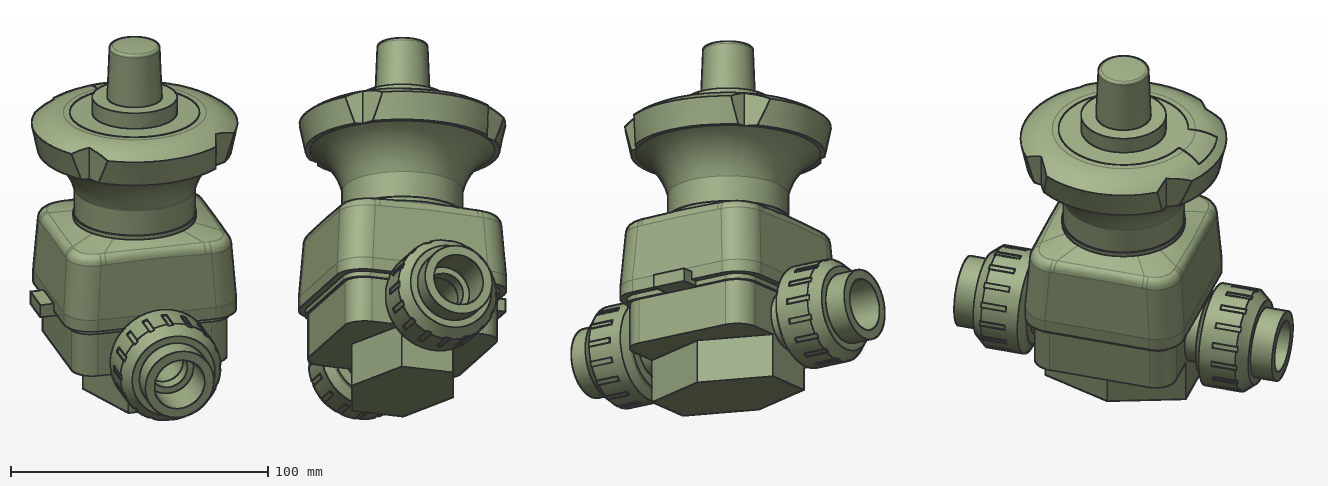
import cadquery as cq
import math


TOTAL_HEIGHT = 142.5
FOOT_BOTTOM = -25.4
BODY_BOTTOM = -8.3
BODY_TOP = 9.7
SKIRT_BOTTOM = 11.8
SKIRT_TOP = 16.8
SHOULDER = 41.9
BONNET_TOP = 44.9
RING_TOP = 46.6
NECK_TOP = 57.0
RIM_BOTTOM = 73.5
RIM_EDGE = 84.2
WHEEL_TOP = 88.6
COLLAR_TOP = 95.0
STEM_TOP = FOOT_BOTTOM + TOTAL_HEIGHT

BODY_X = 57.3
BODY_Y = 62.4
BODY_CORNER = 8.3
FOOT_Y = 41.9
FOOT_END_Y = 21.1
SPIGOT_RADIUS = 11.8
BORE_RADIUS = 7.5

SKIRT_X = 64.1
SKIRT_Y = 69.2
SKIRT_CORNER = 10.8
LIP_INSET = 2.5
WALL_LEAN = 1.7
SHOULDER_FILLET = 4.1
EDGE_MARGIN = 0.1
RING_RADIUS = 24.0
TAB_WIDTH = 14.2
TAB_TOP = 14.8
TAB_REACH = 40.0

NECK_RADIUS = 23.5
FLARE_MID_RADIUS = 27.9
FLARE_MID_HEIGHT = 66.5
FLARE_TOP_RADIUS = 35.9
RIM_BOTTOM_RADIUS = 37.7
RIM_RADIUS = 40.0
WHEEL_FLAT_RADIUS = 27.8
NOTCH_COUNT = 4
NOTCH_ROOT_RADIUS = 36.0
NOTCH_ROOT_ANGLE = 45
NOTCH_EDGE_ANGLES = (36.6, 59.1)
COLLAR_RADIUS = 16.5
STEM_BASE_RADIUS = 10.7
STEM_TIP_RADIUS = 9.8
STEM_FILLET_RADIUS = 1.1
STEM_DOME_RISE = 0.4
DIAL_RADIUS = 25.2
DIAL_DEPTH = 0.1
POINTER_RADIUS = 36.5
POINTER_TIP_ANGLES = (161, 193)
POINTER_ROOT_ANGLES = (166, 197)

PIPE_END = 64.7
NUT_OUTER_FACE = 56.0
NUT_CONE_START = 51.7
NUT_CHAMFER_START = 36.9
NUT_CHAMFER_END = 34.9
NUT_INNER_FACE = 34.3
UNION_JOINT = 42.7
GROOVE_END = 42.0
SOCKET_DEPTH = 16.0
PIPE_RADIUS = 13.8
SOCKET_RADIUS = 10.1
NUT_RADIUS = 20.2
NUT_OUTER_FACE_RADIUS = 16.7
NUT_CHAMFER_END_RADIUS = 16.5
NUT_INNER_FACE_RADIUS = 16.0
GROOVE_COUNT = 16
GROOVE_WIDTH = 2.0
GROOVE_DEPTH = 0.4


def rounded_block(size_x, size_y, corner, bottom, top):
    """Upright block with rounded vertical edges."""
    block = cq.Workplane("XY").workplane(offset=bottom).rect(size_x, size_y).extrude(top - bottom)
    return block.edges("|Z").fillet(corner)


def x_cylinder(radius, start, end):
    """Cylinder around the pipe axis, between two places along X."""
    return cq.Workplane("YZ").workplane(offset=start).circle(radius).extrude(end - start)


def corner_points(size_x, size_y, corner):
    """Start, middle and end of each corner arc of a rounded rectangle, counter-clockwise."""
    corners = []
    for quarter, (sign_x, sign_y) in enumerate([(1, 1), (-1, 1), (-1, -1), (1, -1)]):
        centre_x = sign_x * (size_x / 2 - corner)
        centre_y = sign_y * (size_y / 2 - corner)
        arc = []
        for turn in (0, 45, 90):
            angle = math.radians(90 * quarter + turn)
            arc.append((centre_x + corner * math.cos(angle), centre_y + corner * math.sin(angle)))
        corners.append(arc)
    return corners


def rounded_outline(corners, height):
    """Closed wire of straight sides and corner arcs."""
    outline = cq.Workplane("XY").workplane(offset=height).moveTo(*corners[0][0])
    for index, (_, middle, end) in enumerate(corners):
        outline = outline.threePointArc(middle, end)
        if index < len(corners) - 1:
            outline = outline.lineTo(*corners[index + 1][0])
    return outline.close().val()


def divided_circle(corners, radius, height):
    """Circle split into arcs that face the sides and corners of a rounded outline."""
    starts = [point for start, _, end in corners for point in (start, end)]
    angles = [math.atan2(y, x) for x, y in starts]

    def on_circle(angle):
        return (radius * math.cos(angle), radius * math.sin(angle))

    circle = cq.Workplane("XY").workplane(offset=height).moveTo(*on_circle(angles[0]))
    for index, angle in enumerate(angles):
        following = angles[(index + 1) % len(angles)]
        sweep = (following - angle) % (2 * math.pi)
        circle = circle.threePointArc(on_circle(angle + sweep / 2), on_circle(following))
    return circle.wire().val()


def bonnet_lip():
    """Inset layer under the bonnet skirt, which rests on the valve body."""
    return rounded_block(
        SKIRT_X - 2 * LIP_INSET, SKIRT_Y - 2 * LIP_INSET, SKIRT_CORNER - LIP_INSET, BODY_TOP, SKIRT_BOTTOM
    )


def make_body():
    """Valve body with a tapered foot, spigots on both sides and a straight bore."""
    body = rounded_block(BODY_X, BODY_Y, BODY_CORNER, BODY_BOTTOM, BODY_TOP)
    foot_outline = [
        (BODY_X / 2, -FOOT_END_Y / 2),
        (BODY_X / 2, FOOT_END_Y / 2),
        (0, FOOT_Y / 2),
        (-BODY_X / 2, FOOT_END_Y / 2),
        (-BODY_X / 2, -FOOT_END_Y / 2),
        (0, -FOOT_Y / 2),
    ]
    foot = cq.Workplane("XY").workplane(offset=FOOT_BOTTOM).polyline(foot_outline).close()
    body = body.union(foot.extrude(BODY_BOTTOM - FOOT_BOTTOM))
    body = body.union(x_cylinder(SPIGOT_RADIUS, -UNION_JOINT, UNION_JOINT))
    body = body.cut(bonnet_lip())
    return body.cut(x_cylinder(BORE_RADIUS, -UNION_JOINT, UNION_JOINT))


def make_bonnet():
    """Bonnet with leaning walls, a rounded shoulder, a low ring on top and a tab toward -Y."""
    skirt_corners = corner_points(SKIRT_X, SKIRT_Y, SKIRT_CORNER)
    shoulder_corners = corner_points(SKIRT_X - 2 * WALL_LEAN, SKIRT_Y - 2 * WALL_LEAN, SKIRT_CORNER)
    shoulder_outline = rounded_outline(shoulder_corners, SHOULDER)
    ring_outline = divided_circle(shoulder_corners, RING_RADIUS, BONNET_TOP)

    walls = cq.Solid.makeLoft([rounded_outline(skirt_corners, SKIRT_TOP), shoulder_outline], True)
    crown = cq.Solid.makeLoft([shoulder_outline, ring_outline], True)
    bonnet = cq.Workplane(walls).union(cq.Workplane(crown))
    shoulder_edges = cq.selectors.BoxSelector(
        (-SKIRT_X, -SKIRT_Y, SHOULDER - EDGE_MARGIN), (SKIRT_X, SKIRT_Y, SHOULDER + EDGE_MARGIN)
    )
    bonnet = bonnet.edges(shoulder_edges).fillet(SHOULDER_FILLET)

    ring = cq.Workplane("XY").workplane(offset=BONNET_TOP).circle(RING_RADIUS)
    bonnet = bonnet.union(ring.extrude(RING_TOP - BONNET_TOP))
    bonnet = bonnet.union(rounded_block(SKIRT_X, SKIRT_Y, SKIRT_CORNER, SKIRT_BOTTOM, SKIRT_TOP))
    tab = cq.Workplane("XY").box(TAB_WIDTH, TAB_REACH, TAB_TOP - BODY_TOP, centered=(True, False, False))
    return bonnet.union(bonnet_lip()).union(tab.translate((0, -TAB_REACH, BODY_TOP)))


def polar(radius, degrees):
    """Point in the XY plane at a radius and angle about the spindle axis."""
    angle = math.radians(degrees)
    return (radius * math.cos(angle), radius * math.sin(angle))


def rim_notches():
    """V-shaped prisms cut into the handwheel rim, their points toward the spindle."""
    root = polar(NOTCH_ROOT_RADIUS, NOTCH_ROOT_ANGLE)
    outer = []
    for angle in NOTCH_EDGE_ANGLES:
        edge = polar(RIM_RADIUS, angle)
        outer.append((2 * edge[0] - root[0], 2 * edge[1] - root[1]))
    notch = cq.Workplane("XY").workplane(offset=RIM_BOTTOM).polyline([root, *outer]).close()
    notch = notch.extrude(WHEEL_TOP - RIM_BOTTOM)
    return [notch.rotate((0, 0, 0), (0, 0, 1), i * 360 / NOTCH_COUNT) for i in range(NOTCH_COUNT)]


def wheel_blank(lower_by):
    """Turned handwheel without collar, its rim edge and domed top lowered by a small amount."""
    top = WHEEL_TOP - lower_by
    rim_edge = RIM_EDGE - lower_by
    dome_run = RIM_RADIUS - WHEEL_FLAT_RADIUS
    dome_drop = top - rim_edge
    dome_radius = (dome_run**2 + dome_drop**2) / (2 * dome_drop)
    half_sweep = math.asin(dome_run / dome_radius) / 2
    dome_middle = (
        WHEEL_FLAT_RADIUS + dome_radius * math.sin(half_sweep),
        top - dome_radius * (1 - math.cos(half_sweep)),
    )
    return (
        cq.Workplane("XZ")
        .moveTo(0, RING_TOP)
        .lineTo(NECK_RADIUS, RING_TOP)
        .lineTo(NECK_RADIUS, NECK_TOP)
        .threePointArc((FLARE_MID_RADIUS, FLARE_MID_HEIGHT), (FLARE_TOP_RADIUS, RIM_BOTTOM))
        .lineTo(RIM_BOTTOM_RADIUS, RIM_BOTTOM)
        .lineTo(RIM_RADIUS, rim_edge)
        .threePointArc(dome_middle, (WHEEL_FLAT_RADIUS, top))
        .lineTo(0, top)
        .close()
        .revolve(360, (0, 0, 0), (0, 1, 0))
    )


def dial_recess():
    """Shallow disc with a pointer that runs down toward -X, its floor parallel to the domed top."""
    plane = cq.Workplane("XY").workplane(offset=RIM_EDGE)
    height = COLLAR_TOP - RIM_EDGE
    pointer = (
        plane.moveTo(0, 0)
        .lineTo(*polar(DIAL_RADIUS, POINTER_ROOT_ANGLES[0]))
        .lineTo(*polar(POINTER_RADIUS, POINTER_TIP_ANGLES[0]))
        .threePointArc(
            polar(POINTER_RADIUS, sum(POINTER_TIP_ANGLES) / 2),
            polar(POINTER_RADIUS, POINTER_TIP_ANGLES[1]),
        )
        .lineTo(*polar(DIAL_RADIUS, POINTER_ROOT_ANGLES[1]))
        .close()
        .extrude(height)
    )
    outline = plane.circle(DIAL_RADIUS).extrude(height).union(pointer)
    return outline.cut(wheel_blank(DIAL_DEPTH))


def collar_and_stem():
    """Collar, rooted inside the wheel, and tapered stem with a rounded edge and a slightly domed end."""
    dome_edge_height = STEM_TOP - STEM_DOME_RISE
    dome_edge_radius = STEM_TIP_RADIUS - STEM_FILLET_RADIUS
    dome_radius = (dome_edge_radius**2 + STEM_DOME_RISE**2) / (2 * STEM_DOME_RISE)
    mid_run = dome_edge_radius / 2
    mid_height = STEM_TOP - dome_radius + math.sqrt(dome_radius**2 - mid_run**2)
    fillet_base = dome_edge_height - STEM_FILLET_RADIUS
    fillet_offset = STEM_FILLET_RADIUS * math.sqrt(0.5)
    return (
        cq.Workplane("XZ")
        .moveTo(0, RIM_EDGE)
        .lineTo(COLLAR_RADIUS, RIM_EDGE)
        .lineTo(COLLAR_RADIUS, COLLAR_TOP)
        .lineTo(STEM_BASE_RADIUS, COLLAR_TOP)
        .lineTo(STEM_TIP_RADIUS, fillet_base)
        .threePointArc(
            (dome_edge_radius + fillet_offset, fillet_base + fillet_offset),
            (dome_edge_radius, dome_edge_height),
        )
        .threePointArc((mid_run, mid_height), (0, STEM_TOP))
        .close()
        .revolve(360, (0, 0, 0), (0, 1, 0))
    )


def make_handwheel():
    """Handwheel with notched rim, dial recess, collar and stem."""
    wheel = wheel_blank(0)
    for notch in rim_notches():
        wheel = wheel.cut(notch)
    return wheel.cut(dial_recess()).union(collar_and_stem())


def make_nut():
    """Union nut on the +X side: wide bore for the pipe end, narrow bore for the spigot."""
    nut = (
        cq.Workplane("XY")
        .moveTo(NUT_INNER_FACE, SPIGOT_RADIUS)
        .lineTo(NUT_INNER_FACE, NUT_INNER_FACE_RADIUS)
        .lineTo(NUT_CHAMFER_END, NUT_CHAMFER_END_RADIUS)
        .lineTo(NUT_CHAMFER_START, NUT_RADIUS)
        .lineTo(NUT_CONE_START, NUT_RADIUS)
        .lineTo(NUT_OUTER_FACE, NUT_OUTER_FACE_RADIUS)
        .lineTo(NUT_OUTER_FACE, PIPE_RADIUS)
        .lineTo(UNION_JOINT, PIPE_RADIUS)
        .lineTo(UNION_JOINT, SPIGOT_RADIUS)
        .close()
        .revolve(360, (0, 0, 0), (1, 0, 0))
    )
    groove = cq.Workplane("XY").box(
        NUT_OUTER_FACE - GROOVE_END, GROOVE_WIDTH, NUT_RADIUS, centered=(False, True, False)
    )
    groove = groove.translate((GROOVE_END, 0, NUT_RADIUS - GROOVE_DEPTH))
    for i in range(GROOVE_COUNT):
        nut = nut.cut(groove.rotate((0, 0, 0), (1, 0, 0), i * 360 / GROOVE_COUNT))
    return nut


def make_pipe_end():
    """Socket pipe end on the +X side."""
    pipe = x_cylinder(PIPE_RADIUS, UNION_JOINT, PIPE_END)
    pipe = pipe.cut(x_cylinder(SOCKET_RADIUS, PIPE_END - SOCKET_DEPTH, PIPE_END))
    return pipe.cut(x_cylinder(BORE_RADIUS, UNION_JOINT, PIPE_END))


valve_body = make_body()
bonnet = make_bonnet()
handwheel = make_handwheel()

nuts = []
pipe_ends = []
for turn in (0, 180):
    nuts.append(make_nut().rotate((0, 0, 0), (0, 0, 1), turn).val())
    pipe_ends.append(make_pipe_end().rotate((0, 0, 0), (0, 0, 1), turn).val())

result = cq.Compound.makeCompound([valve_body.val(), bonnet.val(), handwheel.val(), *nuts, *pipe_ends])